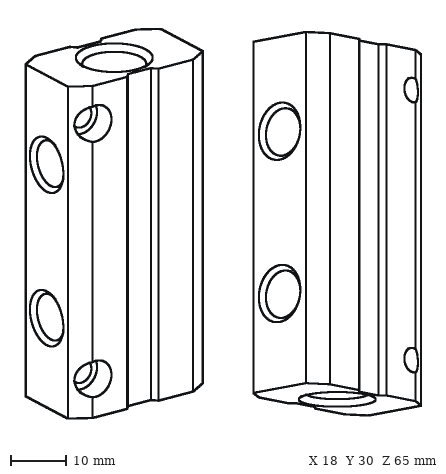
import cadquery as cq

width = 18.0
depth = 30.0
height = 65.0

bevel_x = 2.35
bevel_y = 3.85

groove_mouth = 7.0
groove_floor = 5.0
groove_depth = 1.05

bore_diameter = 11.65
bore_mouth_diameter = 14.0

port_diameter = 8.7
port_mouth_diameter = 10.5
port_spacing = 30.0

screw_diameter = 4.5
screw_head_diameter = 7.0
screw_head_depth = 4.55
screw_y = -10.45
screw_spacing = 50.0

half_width = width / 2
half_depth = depth / 2
half_height = height / 2


def mouth_cone(bore, mouth):
    """45 degree countersink pointing up, with its wide end at the origin."""
    cone_depth = (mouth - bore) / 2
    return cq.Workplane(cq.Solid.makeCone(mouth / 2, bore / 2, cone_depth))


def make_block():
    """Extruded rectangle with unequal corner bevels."""
    bevel_start_x = half_width - bevel_x
    bevel_end_y = half_depth - bevel_y
    outline = [
        (bevel_start_x, -half_depth),
        (half_width, -bevel_end_y),
        (half_width, bevel_end_y),
        (bevel_start_x, half_depth),
        (-bevel_start_x, half_depth),
        (-half_width, bevel_end_y),
        (-half_width, -bevel_end_y),
        (-bevel_start_x, -half_depth),
    ]
    block = cq.Workplane("XY").polyline(outline).close().extrude(height)
    return block.translate((0, 0, -half_height))


def make_groove(side):
    """Groove cutter for the +X (side = 1) or -X (side = -1) face."""
    outer_x = side * half_width
    floor_x = side * (half_width - groove_depth)
    outline = [
        (outer_x, -groove_mouth / 2),
        (floor_x, -groove_floor / 2),
        (floor_x, groove_floor / 2),
        (outer_x, groove_mouth / 2),
    ]
    groove = cq.Workplane("XY").polyline(outline).close().extrude(height)
    return groove.translate((0, 0, -half_height))


def make_bore():
    """Vertical bore, countersunk at both ends."""
    bore = cq.Workplane("XY").circle(bore_diameter / 2).extrude(half_height, both=True)
    lower_cone = mouth_cone(bore_diameter, bore_mouth_diameter).translate((0, 0, -half_height))
    return bore.union(lower_cone).union(lower_cone.mirror("XY"))


def make_port(z):
    """Through hole along Y, countersunk at both ends."""
    port = cq.Workplane("XY").circle(port_diameter / 2).extrude(half_depth, both=True)
    lower_cone = mouth_cone(port_diameter, port_mouth_diameter).translate((0, 0, -half_depth))
    port = port.union(lower_cone).union(lower_cone.mirror("XY"))
    return port.rotate((0, 0, 0), (1, 0, 0), -90).translate((0, 0, z))


def make_screw_hole(z):
    """Through hole along X with a counterbore on the +X side."""
    shank = cq.Workplane("YZ").center(screw_y, z).circle(screw_diameter / 2).extrude(half_width, both=True)
    head = (
        cq.Workplane("YZ", origin=(half_width, 0, 0))
        .center(screw_y, z)
        .circle(screw_head_diameter / 2)
        .extrude(-screw_head_depth)
    )
    return shank.union(head)


result = make_block().cut(make_bore())
for side in (-1, 1):
    result = result.cut(make_groove(side))
    result = result.cut(make_port(side * port_spacing / 2))
    result = result.cut(make_screw_hole(side * screw_spacing / 2))